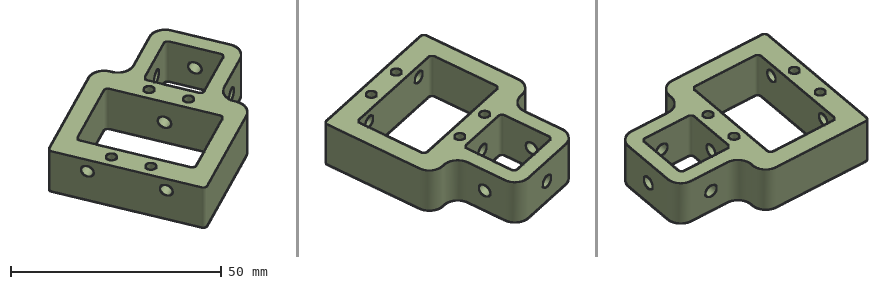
import cadquery as cq

body_width = 40.0
total_length = 51.0
thickness = 12.7

small_corner_radius = 1.0
large_corner_radius = 4.0
large_window_width = 30.0
large_window_length = 20.0
small_window_size = 15.0
front_wall = 6.0
head_wall = 4.0
head_width = small_window_size + 2 * head_wall
small_window_back = total_length - head_wall
shoulder_y = small_window_back - small_window_size
large_window_back = front_wall + large_window_length
cross_wall_y = (large_window_back + shoulder_y) / 2

vertical_hole_diameter = 2.55
vertical_hole_spacing = 10.0
front_hole_diameter = 3.2
front_hole_spacing = 20.0
front_hole_drop = 3.55
cross_hole_diameter = 3.4
side_hole_from_back = 10.0

margin = 0.5


def block(width, y_start, y_end):
    """Full-thickness block centred on X, spanning y_start to y_end."""
    length = y_end - y_start
    return cq.Workplane("XY").box(width, length, thickness, centered=(True, False, False)).translate(
        (0, y_start, 0)
    )


def window(width, y_start, y_end):
    return block(width, y_start, y_end).edges("|Z").fillet(small_corner_radius)


def rod(diameter, start, direction, length):
    """Cylinder used to cut a round hole."""
    solid = cq.Solid.makeCylinder(diameter / 2, length, cq.Vector(*start), cq.Vector(*direction))
    return cq.Workplane(obj=solid)


def make_outline():
    """Wide body and narrow head, blended by shoulder and inner corner radii."""
    body = block(body_width, 0, shoulder_y)
    body = body.edges("|Z and <Y").fillet(small_corner_radius)
    body = body.edges("|Z and >Y").fillet(large_corner_radius)
    head = block(head_width, cross_wall_y, total_length)
    head = head.edges("|Z and >Y").fillet(large_corner_radius)
    plate = body.union(head)
    inner_corners = cq.selectors.BoxSelector(
        (-head_width / 2 - margin, shoulder_y - margin, -margin),
        (head_width / 2 + margin, shoulder_y + margin, thickness + margin),
    )
    return plate.edges("|Z").edges(inner_corners).fillet(large_corner_radius)


result = make_outline()
result = result.cut(window(large_window_width, front_wall, large_window_back))
result = result.cut(window(small_window_size, shoulder_y, small_window_back))

for side in (-1, 1):
    for y in (front_wall / 2, cross_wall_y):
        start = (side * vertical_hole_spacing / 2, y, 0)
        result = result.cut(rod(vertical_hole_diameter, start, (0, 0, 1), thickness))
    start = (side * front_hole_spacing / 2, 0, thickness - front_hole_drop)
    result = result.cut(rod(front_hole_diameter, start, (0, 1, 0), front_wall + margin))

start = (0, cross_wall_y - front_wall, thickness / 2)
result = result.cut(rod(cross_hole_diameter, start, (0, 1, 0), total_length))

start = (-body_width / 2, total_length - side_hole_from_back, thickness / 2)
result = result.cut(rod(cross_hole_diameter, start, (1, 0, 0), body_width))